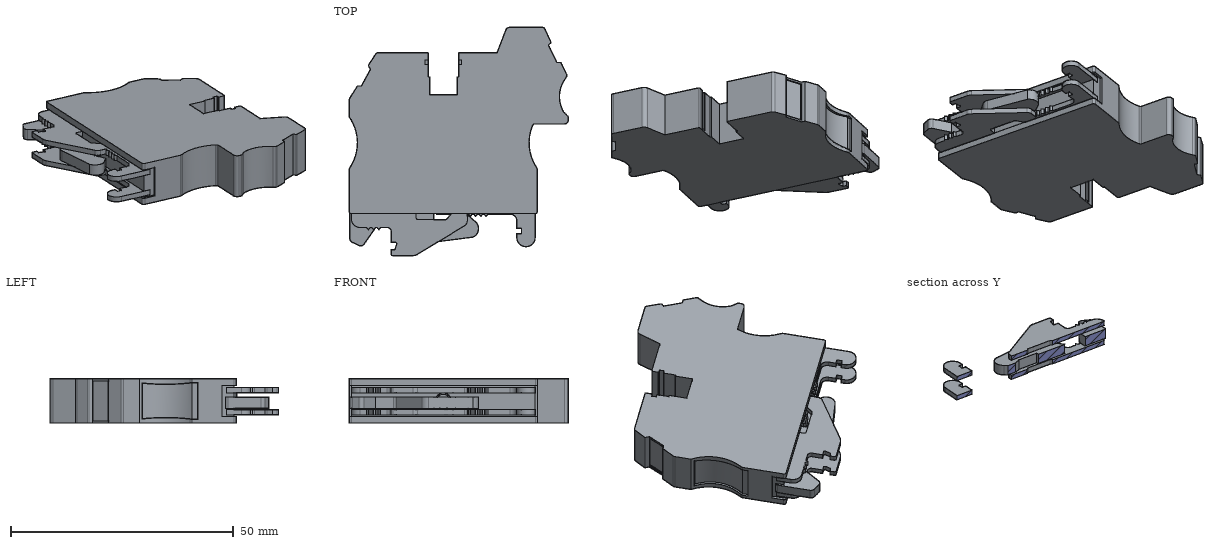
import cadquery as cq
import math


thickness = 10.0
body_width = 42.4
shoulder_height = 36.26
top_height = 41.97
overall_width = 49.37
foot_depth = 9.47
body_corner_radius = 0.5

grip_radius = 10.1
grip_depth = 1.86
grip_center_y = 15.95
grip_center_offset = grip_radius - grip_depth
grip_start_y = 10.5
grip_blend_y = 10.0
nose_underside_y = 20.17
armpit_height = 0.4
armpit_run = 0.25
armpit_radius = 0.3
grip_blend_radius = 0.3

nose_recess_top = (48.7, 30.4)
nose_recess_middle = (47.37, 26.5)
nose_recess_bottom = (48.3, 22.9)
nose_radius = 0.9

slot_left = 17.83
slot_width = 6.82
slot_right = slot_left + slot_width
slot_floor_y = 26.76
slot_step_y = 30.8
slot_step = 0.35
slot_lip_radius = 0.25
groove_center_y = 34.1
groove_height = 1.0
groove_depth = 0.7
groove_mouth_chamfer = 0.15
groove_floor_z = 0.5

flank_low = (2.77, 28.75)
flank_high = (4.79, 32.45)
flank_ledge_x = 1.86
flank_pocket_depth = 0.3
flank_pocket_margin = 0.5

frame_bottom_y = 8.67
frame_top_y = 21.3
frame_margin = 0.85
frame_taper = 11
frame_depth = 0.4
frame_cut_reach = 4.0

channel_z_low = 1.52
channel_z_high = 8.45
channel_depth = 0.55
end_recess_width = 0.55
end_recess_height = 3.2

plate_thickness = 1.2
plate_z_levels = (1.84, 6.83)
plate_left = 0.52
plate_right = 41.9
plate_top_y = 2.2
latch_z_low = 3.35
latch_thickness = 2.5
latch_left = 0.15
latch_top_y = 2.5
tooth_pitch = 1.18
tooth_half_width = 0.4
tooth_height = 0.5
left_tooth_count = 3
right_tooth_count = 4
left_ledge_y = -3.13
right_ledge_y = -0.14
first_left_tooth_x = 4.35
first_right_tooth_x = 27.3
jaw_x = 9.47
hook_x = 37.73
hook_radius = (plate_right - hook_x) / 2
hook_bottom_y = -7.45
hook_notch_top_y = -3.3
hook_notch_height = 1.2
hook_notch_depth = 1.05
jaw_notch_top_y = -6.45
jaw_notch_bottom_y = -8.1
toe_right_x = 26.6
window = [(15.1, 1.0, 0), (15.1, -1.33, 0.4), (21.9, -1.33, 0.6), (23.4, 0.5, 0), (23.4, 1.0, 0)]
latch_window_edge_x = 19.1
latch_web_y = 0.2
latch_leg_x = 5.95
latch_arm_y = -1.6
latch_tip = (29.15, -3.5)

screw_x = 21.2
screw_z = 5.0
screw_radius = 1.8
screw_chamfer = 0.3
screw_tip_y = -0.14
screw_top_y = 3.0


def rounded_profile(corners):
    """Closed outline through (x, y, radius) corners; each radius rounds its corner.

    A corner may instead be (x, y, (mx, my)): a sharp corner from which the outline
    runs to the next corner as an arc through (mx, my).
    """
    count = len(corners)
    pieces = []
    for i, (x, y, rule) in enumerate(corners):
        if isinstance(rule, tuple) or rule == 0:
            pieces.append(((x, y), None, (x, y)))
            continue
        corner = cq.Vector(x, y)
        back = (cq.Vector(*corners[i - 1][:2]) - corner).normalized()
        ahead = (cq.Vector(*corners[(i + 1) % count][:2]) - corner).normalized()
        half_angle = back.getAngle(ahead) / 2
        start = corner + back * (rule / math.tan(half_angle))
        end = corner + ahead * (rule / math.tan(half_angle))
        bisector = (back + ahead).normalized()
        middle = corner + bisector * (rule / math.sin(half_angle) - rule)
        pieces.append((start.toTuple()[:2], middle.toTuple()[:2], end.toTuple()[:2]))

    outline = cq.Workplane("XY").moveTo(*pieces[0][2])
    for i in range(1, count + 1):
        start, middle, end = pieces[i % count]
        previous_rule = corners[i - 1][2]
        if isinstance(previous_rule, tuple):
            outline = outline.threePointArc(previous_rule, start)
        else:
            outline = outline.lineTo(*start)
        if middle is not None:
            outline = outline.threePointArc(middle, end)
    return outline.close()


def box(x_range, y_range, z_range):
    size = [high - low for low, high in (x_range, y_range, z_range)]
    corner = (x_range[0], y_range[0], z_range[0])
    return cq.Workplane("XY").box(*size, centered=False).translate(corner)


def grip_inset(y):
    """Depth of the grip recess below the side face at height y."""
    return math.sqrt(grip_radius**2 - (y - grip_center_y) ** 2) - grip_center_offset


def make_housing():
    grip_end_y = grip_center_y + math.sqrt(grip_radius**2 - grip_center_offset**2)
    blend_inset = grip_inset(grip_start_y)
    armpit_y = nose_underside_y - armpit_height
    armpit_x = body_width - grip_inset(armpit_y)
    right_grip_middle = (body_width - grip_depth, grip_center_y)
    corners = [
        (0, 0, body_corner_radius),
        (body_width, 0, body_corner_radius),
        (body_width, grip_blend_y, grip_blend_radius),
        (body_width - blend_inset, grip_start_y, right_grip_middle),
        (armpit_x, armpit_y, 0),
        (armpit_x + armpit_run, nose_underside_y, armpit_radius),
        (overall_width, nose_underside_y, nose_radius),
        (overall_width, 21.8, 0.5),
        (*nose_recess_bottom, nose_recess_middle),
        (*nose_recess_top, 0),
        (49.1, 31.1, 0.4),
        (47.65, 34.07, 0.2),
        (46.76, 34.07, 0),
        (44.88, 37.95, 0),
        (45.5, 38.5, 0.25),
        (43.9, top_height, 0.8),
        (35.5, top_height, 1.1),
        (33.3, shoulder_height, 0),
        (slot_right, shoulder_height, slot_lip_radius),
        (slot_right, slot_step_y, 0),
        (slot_right - slot_step, slot_step_y, 0),
        (slot_right - slot_step, slot_floor_y, 0),
        (slot_left + slot_step, slot_floor_y, 0),
        (slot_left + slot_step, slot_step_y, 0),
        (slot_left, slot_step_y, 0),
        (slot_left, shoulder_height, slot_lip_radius),
        (6.2, shoulder_height, 0.8),
        (4.3, 33.35, 0.3),
        (*flank_high, 0),
        (*flank_low, 0.2),
        (flank_ledge_x, flank_low[1], 0),
        (0, 25.75, 1.0),
        (0, grip_end_y, (grip_depth, grip_center_y)),
        (blend_inset, grip_start_y, 0),
        (0, grip_blend_y, grip_blend_radius),
    ]
    return rounded_profile(corners).extrude(thickness)


def slot_groove(wall_x, direction):
    """Key groove in one slot wall, cut from +Z and widened at its mouth."""
    half = groove_height / 2
    mouth_half = half + groove_mouth_chamfer
    neck_x = wall_x + direction * groove_mouth_chamfer
    floor_x = wall_x + direction * groove_depth
    return (
        cq.Workplane("XY", origin=(0, groove_center_y, groove_floor_z))
        .polyline([
            (wall_x, -mouth_half),
            (neck_x, -half),
            (floor_x, -half),
            (floor_x, half),
            (neck_x, half),
            (wall_x, mouth_half),
        ])
        .close()
        .extrude(thickness)
    )


def flank_pocket():
    """Shallow pocket sunk square to the left slanted flank."""
    run = flank_high[0] - flank_low[0]
    rise = flank_high[1] - flank_low[1]
    length = math.hypot(run, rise)
    inward = (flank_pocket_depth * rise / length, -flank_pocket_depth * run / length)
    corners = [
        flank_low,
        flank_high,
        (flank_high[0] + inward[0], flank_high[1] + inward[1]),
        (flank_low[0] + inward[0], flank_low[1] + inward[1]),
    ]
    height = thickness - 2 * flank_pocket_margin
    return (
        cq.Workplane("XY", origin=(0, 0, flank_pocket_margin))
        .polyline(corners)
        .close()
        .extrude(height)
    )


def grip_frame_pocket():
    """Tapered frame through the left side face, floored parallel to the outline."""
    frame_center = (0, (frame_bottom_y + frame_top_y) / 2, thickness / 2)
    frame = (
        cq.Workplane("YZ", origin=frame_center)
        .rect(frame_top_y - frame_bottom_y, thickness - 2 * frame_margin)
        .extrude(frame_cut_reach, taper=frame_taper)
    )
    floor_cylinder = (
        cq.Workplane("XY")
        .center(-grip_center_offset, grip_center_y)
        .circle(grip_radius + frame_depth)
        .extrude(thickness)
    )
    floor_slab = box((0, frame_depth), (0, frame_top_y), (0, thickness))
    return frame.intersect(floor_cylinder.union(floor_slab))


def foot_channel():
    """Shallow channel along the underside, rising at both ends."""
    z_range = (channel_z_low, channel_z_high)
    channel = box((0, body_width), (0, channel_depth), z_range)
    left_end = box((0, end_recess_width), (0, end_recess_height), z_range)
    right_end = box((body_width - end_recess_width, body_width), (0, end_recess_height), z_range)
    return channel.union(left_end).union(right_end)


def teeth(first_x, count, base_y):
    """Corners of a row of triangular teeth pointing down, from low to high X."""
    corners = []
    for i in range(count):
        center_x = first_x + i * tooth_pitch
        corners.append((center_x - tooth_half_width, base_y, 0))
        corners.append((center_x, base_y - tooth_height, 0))
        corners.append((center_x + tooth_half_width, base_y, 0))
    return corners


def make_plate(z_low):
    """One sheet-metal rail foot with a toothed edge, jaw, window and end hook."""
    hook_round_y = hook_bottom_y + hook_radius
    hook_notch_x = hook_x + hook_notch_depth
    hook_notch_bottom_y = hook_notch_top_y - hook_notch_height
    corners = [
        (plate_left, plate_top_y, 0),
        (plate_left, left_ledge_y, 2.0),
        *teeth(first_left_tooth_x, left_tooth_count, left_ledge_y),
        (jaw_x, left_ledge_y, 0.9),
        (jaw_x, jaw_notch_top_y, 0),
        (10.8, jaw_notch_top_y, 0.3),
        (10.3, jaw_notch_bottom_y, 0),
        (jaw_x, jaw_notch_bottom_y, 0),
        (jaw_x, -foot_depth, 0.4),
        (14.9, -foot_depth, 2.0),
        (toe_right_x, -2.35, 1.2),
        (toe_right_x, right_ledge_y, 0),
        *teeth(first_right_tooth_x, right_tooth_count, right_ledge_y),
        (hook_x, right_ledge_y, 1.5),
        (hook_x, hook_notch_top_y, 0),
        (hook_notch_x, hook_notch_top_y, 0.2),
        (hook_notch_x, hook_notch_bottom_y, 0),
        (hook_x, hook_notch_bottom_y, 0),
        (hook_x, hook_round_y, (hook_x + hook_radius, hook_bottom_y)),
        (plate_right, hook_round_y, 0),
        (plate_right, plate_top_y, 0),
    ]
    plate = rounded_profile(corners).extrude(plate_thickness)
    plate = plate.cut(rounded_profile(window).extrude(plate_thickness))
    return plate.translate((0, 0, z_low))


def make_latch():
    """Release latch between the two plates, with its arm reaching to the right."""
    corners = [
        (latch_left, latch_top_y, 0.6),
        (latch_left, -6.2, 1.0),
        (2.95, -7.5, 0.9),
        (latch_leg_x, -3.2, 0),
        (latch_leg_x, latch_web_y, 0),
        (10.4, latch_web_y, 1.0),
        (17.0, -6.7, 1.8),
        (27.9, -5.3, latch_tip),
        (28.2, latch_arm_y, 0),
        (26.85, -0.4, 0.1),
        (24.0, latch_arm_y, 0),
        (latch_window_edge_x, latch_arm_y, 0),
        (latch_window_edge_x, latch_top_y, 0),
    ]
    return rounded_profile(corners).extrude(latch_thickness).translate((0, 0, latch_z_low))


def make_screw():
    return (
        cq.Workplane("XZ", origin=(screw_x, screw_top_y, screw_z))
        .circle(screw_radius)
        .extrude(screw_top_y - screw_tip_y)
        .faces("<Y")
        .chamfer(screw_chamfer)
    )


result = (
    make_housing()
    .cut(slot_groove(slot_left, -1))
    .cut(slot_groove(slot_right, 1))
    .cut(flank_pocket())
    .cut(grip_frame_pocket())
    .cut(foot_channel())
)
for plate_z in plate_z_levels:
    result = result.union(make_plate(plate_z))
result = result.union(make_latch()).union(make_screw())